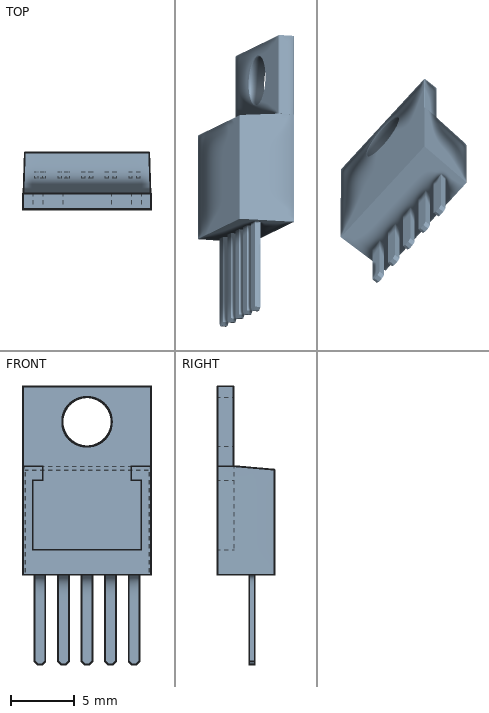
import cadquery as cq
import math


HOUSING_WIDTH = 10.1
HOUSING_DEPTH = 4.51
SHOULDER_HEIGHT = 8.57
TOP_SLOPE_DEG = 5.0
SIDE_DRAFT = 0.15
EDGE_BREAK = 0.05

TAB_WIDTH = HOUSING_WIDTH
TAB_HEIGHT = 14.85
TAB_THICKNESS = 1.3
HOLE_DIAMETER = 3.84
HOLE_HEIGHT = 12.05
PAD_WIDTH = 8.5
PAD_BOTTOM = 1.97
PAD_TOP = 7.45
NECK_WIDTH = 6.93

TOTAL_HEIGHT = 21.9
LEAD_COUNT = 5
LEAD_PITCH = 1.85
LEAD_WIDTH = 0.87
LEAD_THICKNESS = 0.46
LEAD_FRONT = 2.5
LEAD_LENGTH = TOTAL_HEIGHT - TAB_HEIGHT
LEAD_TIP_CHAMFER = 0.25


def make_tab():
    """Drilled flange above the shoulder, with a neck and a wider pad set into the housing."""
    flange_height = TAB_HEIGHT - SHOULDER_HEIGHT
    flange = (
        cq.Workplane("XY", origin=(0, TAB_THICKNESS / 2, SHOULDER_HEIGHT))
        .box(TAB_WIDTH, TAB_THICKNESS, flange_height, centered=(True, True, False))
        .faces("<Y or >Y")
        .edges("|Z or >Z")
        .chamfer(EDGE_BREAK)
    )
    hole = (
        cq.Workplane("XZ", origin=(0, 0, HOLE_HEIGHT))
        .circle(HOLE_DIAMETER / 2)
        .extrude(-TAB_THICKNESS)
    )
    flange = flange.cut(hole).faces("<Y or >Y").edges("%CIRCLE").chamfer(EDGE_BREAK)
    neck = cq.Workplane("XY", origin=(0, TAB_THICKNESS / 2, PAD_TOP)).box(
        NECK_WIDTH, TAB_THICKNESS, SHOULDER_HEIGHT - PAD_TOP, centered=(True, True, False)
    )
    pad = cq.Workplane("XY", origin=(0, TAB_THICKNESS / 2, PAD_BOTTOM)).box(
        PAD_WIDTH, TAB_THICKNESS, PAD_TOP - PAD_BOTTOM, centered=(True, True, False)
    )
    return flange.union(neck).union(pad)


def make_lead(x):
    """Flat lead below the housing with a chamfered tip."""
    return (
        cq.Workplane("XY", origin=(x, LEAD_FRONT + LEAD_THICKNESS / 2, -LEAD_LENGTH))
        .box(LEAD_WIDTH, LEAD_THICKNESS, LEAD_LENGTH, centered=(True, True, False))
        .edges("|Y and <Z")
        .chamfer(LEAD_TIP_CHAMFER)
    )


def make_housing(tab):
    """Drafted block with a sloping top, recessed for the tab and carrying the leads."""
    half_width = HOUSING_WIDTH / 2
    back_half_width = half_width - SIDE_DRAFT
    footprint = [
        (-half_width, 0),
        (half_width, 0),
        (back_half_width, HOUSING_DEPTH),
        (-back_half_width, HOUSING_DEPTH),
    ]
    slope_drop = (HOUSING_DEPTH - TAB_THICKNESS) * math.tan(math.radians(TOP_SLOPE_DEG))
    above_slope = [
        (TAB_THICKNESS, SHOULDER_HEIGHT),
        (HOUSING_DEPTH, SHOULDER_HEIGHT - slope_drop),
        (HOUSING_DEPTH, SHOULDER_HEIGHT),
    ]
    wedge = cq.Workplane("YZ").polyline(above_slope).close().extrude(half_width, both=True)
    housing = cq.Workplane("XY").polyline(footprint).close().extrude(SHOULDER_HEIGHT).cut(wedge)
    housing = housing.faces(">Y").edges("not <Z").chamfer(EDGE_BREAK)
    housing = housing.cut(tab)
    for i in range(LEAD_COUNT):
        x = (i - (LEAD_COUNT - 1) / 2) * LEAD_PITCH
        housing = housing.union(make_lead(x))
    return housing


tab = make_tab()
housing = make_housing(tab)

result = cq.Compound.makeCompound([housing.solids().val(), tab.solids().val()])